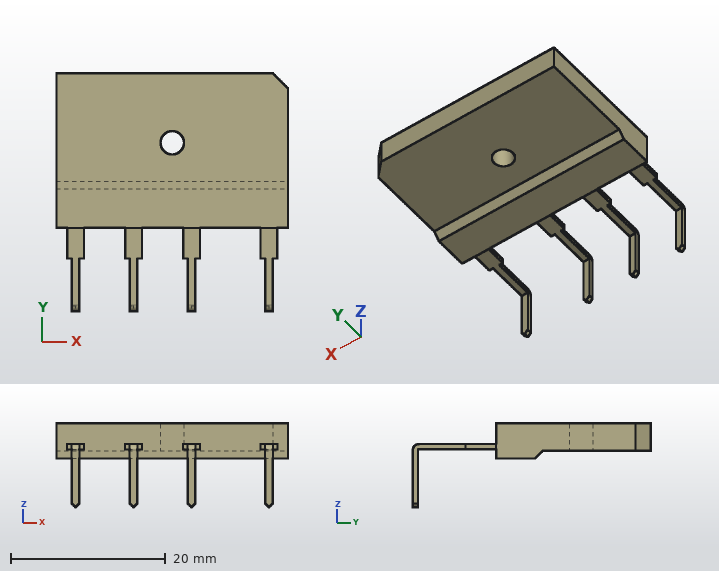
import cadquery as cq

HOUSING_WIDTH = 30.0
HOUSING_DEPTH = 20.0
PLATE_THICKNESS = 3.6
BAND_DROP = 1.0
BAND_DEPTH = 5.0
CORNER_CHAMFER = 2.0
HOLE_DIAMETER = 3.0
HOLE_FROM_BACK = 9.0

LEAD_POSITIONS = (-12.5, -5.0, 2.5, 12.5)
LEAD_THICKNESS = 0.7
LEAD_REACH = 10.8
LEAD_TOP_DEPTH = 2.7
SHOULDER_WIDTH = 2.2
SHOULDER_LENGTH = 4.0
PIN_WIDTH = 1.0
BEND_RADIUS = 0.8
OVERALL_HEIGHT = 10.9
TIP_HEIGHT = PIN_WIDTH / 2

HOUSING_TOP = PLATE_THICKNESS
LEAD_TOP = HOUSING_TOP - LEAD_TOP_DEPTH
LEAD_BOTTOM = LEAD_TOP - LEAD_THICKNESS
TIP_Z = HOUSING_TOP - OVERALL_HEIGHT


def make_housing():
    """Block with a stepped side profile, one cut corner and a through hole."""
    side_profile = [
        (0, HOUSING_TOP),
        (HOUSING_DEPTH, HOUSING_TOP),
        (HOUSING_DEPTH, 0),
        (BAND_DEPTH + BAND_DROP, 0),
        (BAND_DEPTH, -BAND_DROP),
        (0, -BAND_DROP),
    ]
    block = (
        cq.Workplane("YZ")
        .polyline(side_profile)
        .close()
        .extrude(HOUSING_WIDTH / 2, both=True)
    )
    block = block.edges("|Z and >X and >Y").chamfer(CORNER_CHAMFER)
    hole = (
        cq.Workplane("XY")
        .center(0, HOUSING_DEPTH - HOLE_FROM_BACK)
        .circle(HOLE_DIAMETER / 2)
        .extrude(HOUSING_TOP)
    )
    return block.cut(hole)


def make_lead(x):
    """Bent lead at the given X: wide shoulder, narrow pin and pointed tip."""
    strip = (
        cq.Workplane("YZ")
        .moveTo(0, LEAD_TOP)
        .lineTo(BEND_RADIUS - LEAD_REACH, LEAD_TOP)
        .radiusArc((-LEAD_REACH, LEAD_TOP - BEND_RADIUS), -BEND_RADIUS)
        .lineTo(-LEAD_REACH, TIP_Z)
        .lineTo(LEAD_THICKNESS - LEAD_REACH, TIP_Z)
        .lineTo(LEAD_THICKNESS - LEAD_REACH, LEAD_BOTTOM)
        .lineTo(0, LEAD_BOTTOM)
        .close()
        .extrude(PIN_WIDTH / 2, both=True)
    )

    shoulder = cq.Workplane("XY").box(
        SHOULDER_WIDTH, SHOULDER_LENGTH, LEAD_THICKNESS
    )
    shoulder = shoulder.translate(
        (0, -SHOULDER_LENGTH / 2, LEAD_TOP - LEAD_THICKNESS / 2)
    )

    lead = strip.union(shoulder)
    for side in (-1, 1):
        wedge = (
            cq.Workplane("XZ")
            .polyline([
                (0, TIP_Z),
                (side * PIN_WIDTH / 2, TIP_Z),
                (side * PIN_WIDTH / 2, TIP_Z + TIP_HEIGHT),
            ])
            .close()
            .extrude(LEAD_REACH)
        )
        lead = lead.cut(wedge)
    return lead.translate((x, 0, 0))


housing = make_housing()
leads = [make_lead(x) for x in LEAD_POSITIONS]

result = cq.Compound.makeCompound([housing.val(), *[lead.val() for lead in leads]])